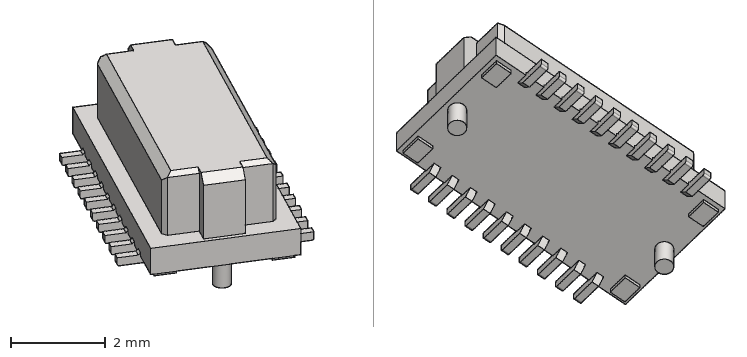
import cadquery as cq

base_length = 6.3
base_width = 3.28
base_height = 0.635

housing_length = 5.4
housing_width = 2.51
housing_height = 1.5
small_chamfer = 0.1
large_chamfer = 2 * small_chamfer

key_length = 6.1
key_width = 0.915

pin_diameter = 0.405
pin_length = 0.62
pin_x = 2.85
pad_width = pin_diameter
pad_length = 0.49
pad_height = 0.1
pad_y = 1.29

leads_per_row = 10
lead_pitch = 0.5
lead_width = 0.18
lead_span = 4.3
lead_thickness = 0.2
lead_drop = 0.165
foot_top_length = 0.46
foot_bottom_length = 0.61
tip_radius = 0.05
lead_embed = 0.125


def make_housing():
    """Block with chamfered corners and top edges."""
    block = (
        cq.Workplane("XY")
        .box(housing_length, housing_width, housing_height, centered=(True, True, False))
        .edges("|Z").chamfer(small_chamfer)
    )
    half_length = housing_length / 2
    half_width = housing_width / 2
    side_roof = chamfered_prism("YZ", half_width, large_chamfer, half_length)
    end_roof = chamfered_prism("XZ", half_length, small_chamfer, half_width)
    housing = block.intersect(side_roof).intersect(end_roof)
    return housing.translate((0, 0, base_height))


def chamfered_prism(plane, half_span, chamfer, half_depth):
    """Housing-high prism whose two upper edges are chamfered at 45 degrees."""
    shoulder = housing_height - chamfer
    return (
        cq.Workplane(plane)
        .polyline([
            (-half_span, 0),
            (half_span, 0),
            (half_span, shoulder),
            (half_span - chamfer, housing_height),
            (chamfer - half_span, housing_height),
            (-half_span, shoulder),
        ])
        .close()
        .extrude(half_depth, both=True)
    )


def make_keys():
    """One bar through the housing, forming the key at each end."""
    bar = chamfered_prism("XZ", key_length / 2, large_chamfer, key_width / 2)
    return bar.translate((0, 0, base_height))


def make_pins():
    return (
        cq.Workplane("XY")
        .pushPoints([(-pin_x, 0), (pin_x, 0)])
        .circle(pin_diameter / 2)
        .extrude(-pin_length)
    )


def make_pads():
    return (
        cq.Workplane("XY")
        .rect(2 * pin_x, 2 * pad_y, forConstruction=True)
        .vertices()
        .rect(pad_width, pad_length)
        .extrude(-pad_height)
    )


def make_lead():
    """Lead on the +Y side, centred on X = 0, with a 45 degree shank."""
    tip_y = lead_span / 2
    foot_bottom = -lead_drop
    foot_top = foot_bottom + lead_thickness
    bend_top_y = tip_y - foot_top_length
    bend_bottom_y = tip_y - foot_bottom_length
    shank_top = foot_top + lead_embed
    return (
        cq.Workplane("YZ")
        .moveTo(tip_y, foot_top)
        .lineTo(bend_top_y, foot_top)
        .lineTo(bend_top_y - lead_embed, shank_top)
        .lineTo(bend_bottom_y - (shank_top - foot_bottom), shank_top)
        .lineTo(bend_bottom_y, foot_bottom)
        .lineTo(tip_y - tip_radius, foot_bottom)
        .radiusArc((tip_y, foot_bottom + tip_radius), -tip_radius)
        .close()
        .extrude(lead_width / 2, both=True)
    )


base = cq.Workplane("XY").box(base_length, base_width, base_height, centered=(True, True, False))
result = base.union(make_housing()).union(make_keys()).union(make_pins()).union(make_pads())

rear_lead = make_lead()
front_lead = rear_lead.mirror("XZ")
for index in range(leads_per_row):
    lead_x = (index - (leads_per_row - 1) / 2) * lead_pitch
    for lead in (rear_lead, front_lead):
        result = result.union(lead.translate((lead_x, 0, 0)))